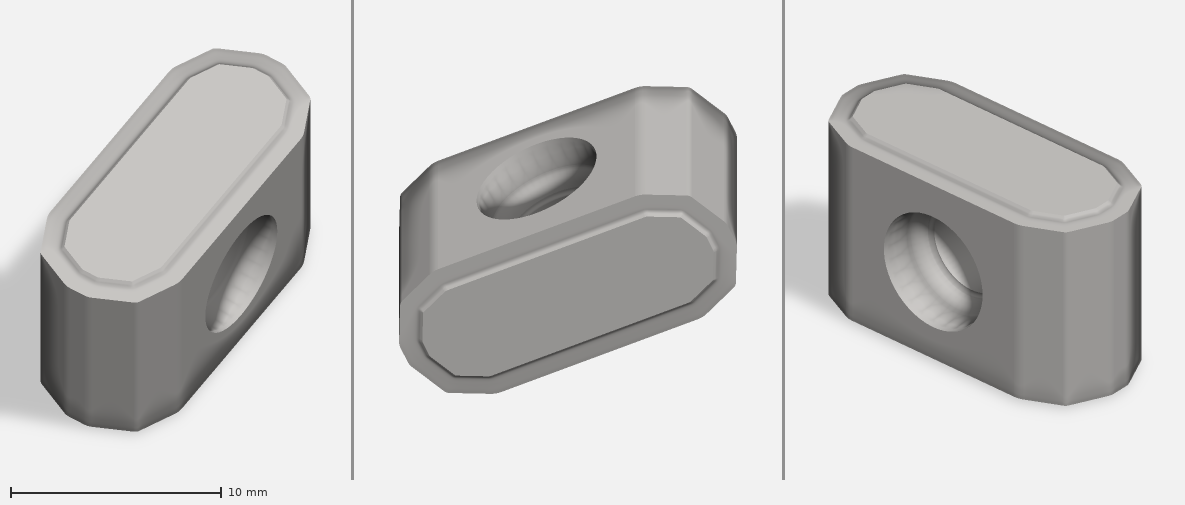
import cadquery as cq
import math

WIDTH = 7.5
LENGTH = 17.0
HEIGHT = 10.2
HALF_WIDTH = WIDTH / 2
HALF_LENGTH = LENGTH / 2

FACET_TURN = 25.0
BODY_FLAT_HALF = 0.61
PAD_FLAT_HALF = 0.5
BODY_ROUNDS = (1.19, 0.39, 0.85)
PAD_ROUNDS = (0.51, 0.25, 0.51)

PAD_HEIGHT = 0.2
PAD_INSET = 0.94
PAD_FOOT_ROUND = 0.19
BODY_HEIGHT = HEIGHT - 2 * PAD_HEIGHT

MOUTH_RADIUS = 3.11
CONE_END_RADIUS = 3.01
CONE_END_DEPTH = 1.56
THROAT_RADIUS = 2.92
THROAT_DEPTH = 1.75
NECK_RADIUS = 2.55
NECK_DEPTH = 2.53
NECK_END_DEPTH = 2.6
SHOULDER_ROUND = 0.17
BORE_RADIUS = 2.35


def outline_corners(inset, flat):
    """Sharp corners of an outline inset from the body sides, counterclockwise from the +X side."""
    side = HALF_WIDTH - inset
    end_center = HALF_LENGTH - HALF_WIDTH
    slope = math.tan(math.radians(FACET_TURN))
    diagonal = (side + flat * slope) / (1 + slope)
    quarter = [(side, end_center + flat), (diagonal, end_center + diagonal), (flat, end_center + side)]
    upper = quarter + [(-x, y) for x, y in reversed(quarter)]
    return upper + [(-x, -y) for x, y in upper]


def outline_prism(inset, flat, rounds, height):
    """Upright prism on the outline, centred on the origin, with rounded corners."""
    corners = outline_corners(inset, flat)
    prism = cq.Workplane("XY").polyline(corners).close().extrude(height / 2, both=True)
    for radius, (x, y) in zip(rounds, corners):
        for sign_x in (1, -1):
            for sign_y in (1, -1):
                corner = cq.selectors.NearestToPointSelector((sign_x * x, sign_y * y, 0))
                prism = prism.edges("|Z").edges(corner).fillet(radius)
    return prism


def padded_body():
    """Body with a pad on each end face, blended into the body at its foot."""
    pads = outline_prism(PAD_INSET, PAD_FLAT_HALF, PAD_ROUNDS, HEIGHT).faces("|Z").chamfer(PAD_HEIGHT)
    body = outline_prism(0, BODY_FLAT_HALF, BODY_ROUNDS, BODY_HEIGHT).union(pads)
    for ledge_place in (">Z[-2]", "<Z[-2]"):
        ledge = body.faces("|Z").faces(ledge_place).val()
        pad_foot = ledge.innerWires()[0].Edges()
        body = body.newObject(pad_foot).fillet(PAD_FOOT_ROUND)
    return body


def half_hole():
    """Turned space of the cross hole from the -X side to the middle."""
    shoulder_depth = NECK_END_DEPTH + SHOULDER_ROUND
    shoulder_radius = NECK_RADIUS - SHOULDER_ROUND
    return (
        cq.Workplane("XY")
        .moveTo(0, 0)
        .lineTo(0, MOUTH_RADIUS)
        .lineTo(CONE_END_DEPTH, CONE_END_RADIUS)
        .tangentArcPoint((THROAT_DEPTH, THROAT_RADIUS), relative=False)
        .tangentArcPoint((NECK_DEPTH, NECK_RADIUS), relative=False)
        .lineTo(NECK_END_DEPTH, NECK_RADIUS)
        .radiusArc((shoulder_depth, shoulder_radius), SHOULDER_ROUND)
        .lineTo(shoulder_depth, BORE_RADIUS)
        .lineTo(HALF_WIDTH, BORE_RADIUS)
        .lineTo(HALF_WIDTH, 0)
        .close()
        .revolve(360, (0, 0, 0), (1, 0, 0))
        .translate((-HALF_WIDTH, 0, 0))
    )


hole = half_hole().union(half_hole().mirror("YZ"))
result = padded_body().cut(hole)